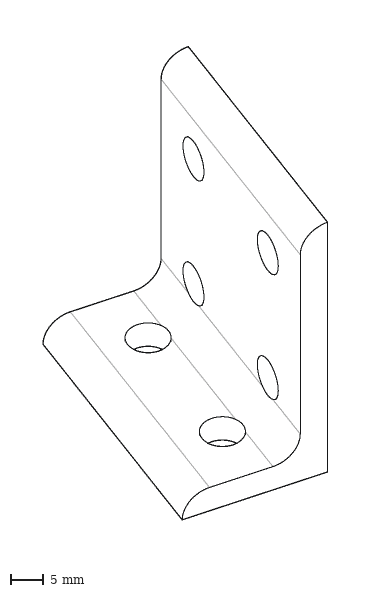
import cadquery as cq

length = 47.6
depth = 25.4
height = 50.8

thickness = 4.8
toe_radius = thickness
root_radius = thickness

hole_diameter = 7.15
hole_spacing = 25.4
hole_offset = 12.7

back = depth / 2
front = -depth / 2
wall_face = back - thickness


def make_angle():
    """L-section with rounded toes and root, extruded along X."""
    section = (
        cq.Workplane("YZ")
        .moveTo(back, 0)
        .lineTo(back, height)
        .radiusArc((wall_face, height - toe_radius), -toe_radius)
        .lineTo(wall_face, thickness + root_radius)
        .radiusArc((wall_face - root_radius, thickness), root_radius)
        .lineTo(front + toe_radius, thickness)
        .radiusArc((front, 0), -toe_radius)
        .close()
    )
    return section.extrude(length / 2, both=True)


def hole_cutter(start, direction, reach):
    """Cylinder that cuts one through hole."""
    return cq.Solid.makeCylinder(hole_diameter / 2, reach, cq.Vector(*start), cq.Vector(*direction))


def drill_holes(angle):
    """Four holes through the upright leg and two through the base leg."""
    for x in (-hole_spacing / 2, hole_spacing / 2):
        for z in (hole_offset, hole_offset + hole_spacing):
            angle = angle.cut(hole_cutter((x, front, z), (0, 1, 0), depth))
        angle = angle.cut(hole_cutter((x, back - hole_offset, 0), (0, 0, 1), height))
    return angle


result = drill_holes(make_angle())